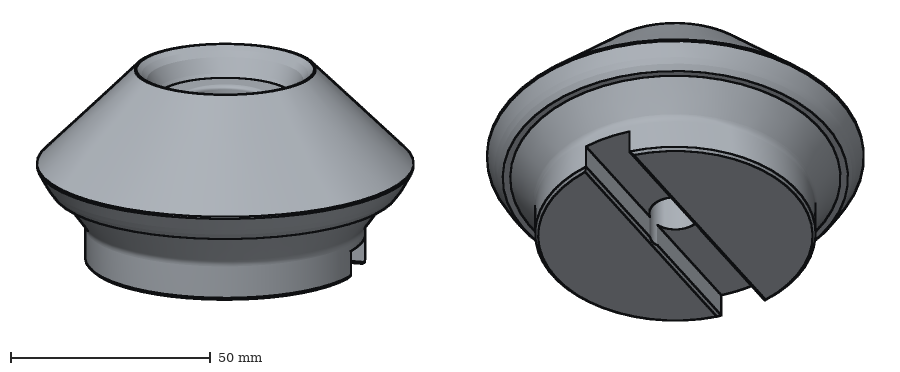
import cadquery as cq
import math

height = 50.0
rim_radius = 47.2
rim_band = 0.6

top_radius = 22.7
top_land = 0.4
mouth_radius = 20.9
mouth_depth = 1.2
throat_radius = 19.5
throat_depth = 2.6

skirt_radius = 45.2
skirt_z = 21.3
heel_radius = 44.4
heel_z = 19.9
ring_base_radius = 43.2
ring_base_z = 18.5

floor_radius = 17.1
floor_depth = 7.3
edge_radius = 17.65
edge_depth = 6.3
neck_radius = 35.1
neck_angle = 35.5
neck_fillet = 3.0
neck_tangent_z = 8.9
foot_chamfer = 0.8

seat_radius = 10.0
seat_fillet = 1.0
seat_depth = 19.2
hole_radius = 6.5
hole_chamfer = 0.6
slot_width = 12.5
slot_depth = 7.2

rim_top_z = height - (rim_radius - top_radius)
floor_z = height - floor_depth
hub_seat_radius = floor_radius + floor_z - ring_base_z


def make_ring():
    """Conical ring with an open dished top, resting on the hub's cone."""
    profile = [
        (floor_radius, floor_z),
        (edge_radius, height - edge_depth),
        (throat_radius, height - throat_depth),
        (mouth_radius, height - mouth_depth),
        (top_radius - top_land, height),
        (top_radius, height),
        (rim_radius, rim_top_z),
        (rim_radius, rim_top_z - rim_band),
        (skirt_radius, skirt_z),
        (heel_radius, heel_z),
        (ring_base_radius, ring_base_z),
        (hub_seat_radius, ring_base_z),
    ]
    return cq.Workplane("XZ").polyline(profile).close().revolve(360, (0, 0), (0, 1))


def make_hub_blank():
    """Solid hub: cylindrical neck, flared neck cone and 45 degree seat cone."""
    angle = math.radians(neck_angle)
    arc_center_radius = neck_radius + neck_fillet

    def arc_point(turn):
        return (
            arc_center_radius - neck_fillet * math.cos(turn),
            neck_tangent_z + neck_fillet * math.sin(turn),
        )

    return (
        cq.Workplane("XZ")
        .lineTo(neck_radius, 0)
        .lineTo(neck_radius, neck_tangent_z)
        .threePointArc(arc_point(angle / 2), arc_point(angle))
        .lineTo(hub_seat_radius, ring_base_z)
        .lineTo(floor_radius, floor_z)
        .lineTo(0, floor_z)
        .close()
        .revolve(360, (0, 0), (0, 1))
    )


def cut_drive_slot(hub):
    """Slot across the foot along X, with the foot edges chamfered."""
    slot = cq.Workplane("XY").box(
        2 * rim_radius, slot_width, slot_depth, centered=(True, True, False)
    )
    return hub.cut(slot).faces("<Z").chamfer(foot_chamfer)


def make_screw_bore():
    """Cutter for the rounded-mouth screw seat and chamfered through hole."""
    seat_z = height - seat_depth
    fillet_offset = seat_fillet * (1 - math.sqrt(0.5))
    return (
        cq.Workplane("XZ")
        .lineTo(hole_radius, 0)
        .lineTo(hole_radius, seat_z - hole_chamfer)
        .lineTo(hole_radius + hole_chamfer, seat_z)
        .lineTo(seat_radius, seat_z)
        .lineTo(seat_radius, floor_z - seat_fillet)
        .threePointArc(
            (seat_radius + fillet_offset, floor_z - fillet_offset),
            (seat_radius + seat_fillet, floor_z),
        )
        .lineTo(0, floor_z)
        .close()
        .revolve(360, (0, 0), (0, 1))
    )


ring = make_ring()
hub = cut_drive_slot(make_hub_blank()).cut(make_screw_bore())

result = cq.Compound.makeCompound([ring.val(), *hub.solids().vals()])